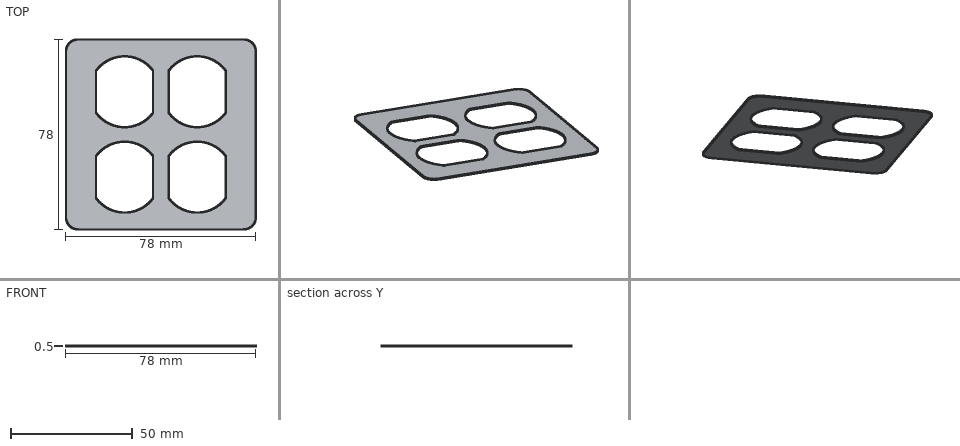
import cadquery as cq

plate_side = 78.0
plate_thickness = 0.5
corner_radius = 5.0

window_diameter = 29.0
window_width = 23.25
window_spacing_x = 29.8
window_spacing_y = 35.0


def make_plate():
    """Flat square plate with rounded corners, resting on Z = 0."""
    plate = cq.Workplane("XY").box(
        plate_side, plate_side, plate_thickness, centered=(True, True, False)
    )
    return plate.edges("|Z").fillet(corner_radius)


def make_window_cutters():
    """A 2 x 2 grid of cylinders trimmed to the window width."""
    centers = cq.Workplane("XY").rarray(window_spacing_x, window_spacing_y, 2, 2)
    cylinders = centers.circle(window_diameter / 2).extrude(plate_thickness)
    strips = centers.rect(window_width, window_diameter).extrude(plate_thickness)
    return cylinders.intersect(strips)


result = make_plate().cut(make_window_cutters())